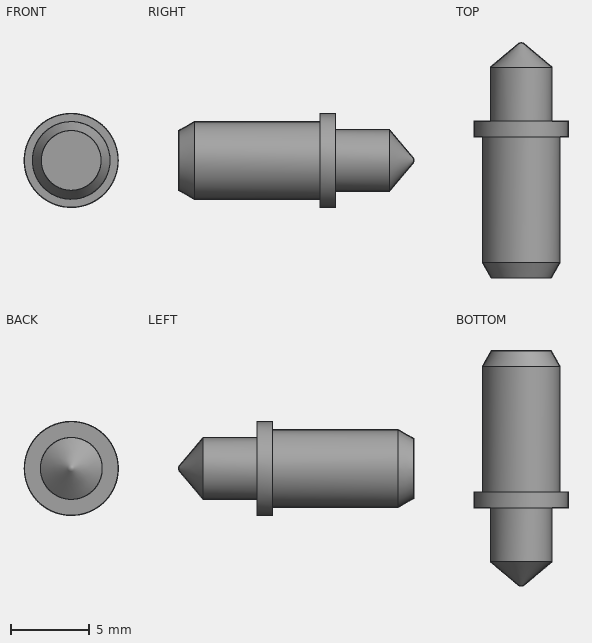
import cadquery as cq
import math

total_length = 15.0
body_length = 9.0
flange_thickness = 1.0
tip_y = total_length - body_length

body_diameter = 4.95
flange_diameter = 6.0
pin_diameter = 3.95

lead_in_length = 1.0
lead_in_diameter = 3.81

cone_half_angle = math.radians(50)
nose_radius = 0.3

body_radius = body_diameter / 2
flange_radius = flange_diameter / 2
pin_radius = pin_diameter / 2

nose_center_y = tip_y - nose_radius
tangent_radius = nose_radius * math.cos(cone_half_angle)
tangent_y = nose_center_y + nose_radius * math.sin(cone_half_angle)
cone_base_y = tangent_y - (pin_radius - tangent_radius) / math.tan(cone_half_angle)

nose_mid_angle = (math.pi / 2 + cone_half_angle) / 2
nose_mid = (
    nose_radius * math.cos(nose_mid_angle),
    nose_center_y + nose_radius * math.sin(nose_mid_angle),
)

profile = (
    cq.Workplane("XY")
    .moveTo(0, -body_length)
    .lineTo(lead_in_diameter / 2, -body_length)
    .lineTo(body_radius, lead_in_length - body_length)
    .lineTo(body_radius, 0)
    .lineTo(flange_radius, 0)
    .lineTo(flange_radius, flange_thickness)
    .lineTo(pin_radius, flange_thickness)
    .lineTo(pin_radius, cone_base_y)
    .lineTo(tangent_radius, tangent_y)
    .threePointArc(nose_mid, (0, tip_y))
    .close()
)

result = profile.revolve(360, (0, 0, 0), (0, 1, 0))